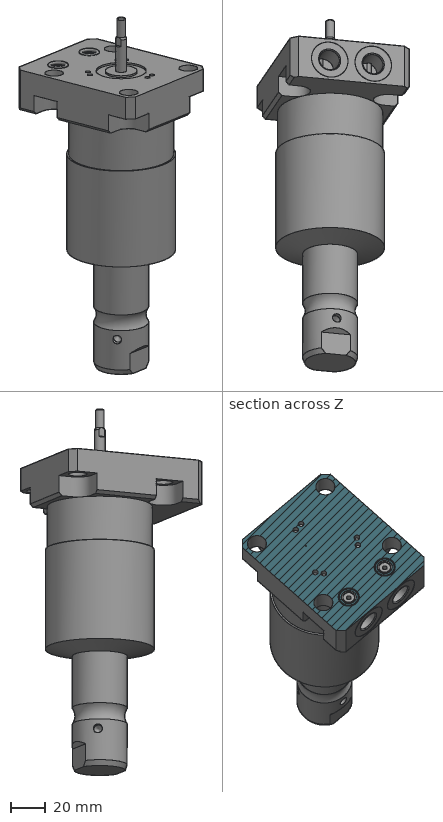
import cadquery as cq
import math

TOTAL_HEIGHT = 212.0
STEM_RADIUS = 16.0
BARREL_RADIUS = 31.4
NECK_RADIUS = 30.3
BARREL_BOTTOM = 71.3
BARREL_TOP = 129.5
BARREL_CONE_ANGLE = 15.0
BARREL_CONE_HEIGHT = (BARREL_RADIUS - STEM_RADIUS) * math.tan(math.radians(BARREL_CONE_ANGLE))
STEM_TOP = BARREL_BOTTOM - BARREL_CONE_HEIGHT
STEM_FOOT_HEIGHT = 3.2
STEM_FOOT_INSET = 1.3

GROOVE_BOTTOM = 27.1
GROOVE_TOP = 36.7
GROOVE_DEPTH = 1.5

FLAT_OFFSET = 13.4
FLAT_TOP = 13.0

PIN_HOLE_HEIGHT = 21.6
PIN_HOLE_RADIUS = 2.5
PIN_HOLE_DEPTH = 3.2
PIN_HOLE_COUNT = 3
PIN_HOLE_START_ANGLE = 180

PLATE_THICKNESS = 25.0
PLATE_TOP = 180.0
PLATE_BOTTOM = PLATE_TOP - PLATE_THICKNESS
PLATE_LEFT = -50.0
PLATE_RIGHT = 35.5
PLATE_HALF_WIDTH = 35.5
PLATE_CORNER = 4.0
PLATE_BOTTOM_CHAMFER = 2.0

MOUNT_SPACING = 55.0
MOUNT_RADIUS = 5.3
CLEARANCE_RADIUS = 8.5
CLEARANCE_HEIGHT = 11.7

RING_OUTER_RADIUS = 14.5
RING_INNER_RADIUS = 9.1
RING_DEPTH = 1.0
SMALL_HOLE_CIRCLE = 19.3
SMALL_HOLE_RADIUS = 1.5
SMALL_HOLE_DEPTH = 4.2
SMALL_HOLE_ANGLES = (0, 15, 120, 135, 225, 240)

PORT_OFFSET = 13.0
PORT_DROP = 12.7
PORT_HEIGHT = PLATE_TOP - PORT_DROP
PORT_RADIUS = 6.0
PORT_CHAMFER = 0.6
PORT_DEPTH = 15.0
SPOTFACE_RADIUS = 10.8
SPOTFACE_DEPTH = 0.2

TOP_PORT_X = PLATE_LEFT + PORT_DEPTH
TOP_PORT_OFFSET = 14.5
TOP_PORT_RADIUS = 1.3
TOP_PORT_DEPTH = 15.0
SEAT_RADIUS = 6.0
SEAT_DEPTH = 1.3
SEAT_RECESS_RADIUS = 3.4
SEAT_RECESS_DEPTH = 2.0
ORING_SECTION = 1.0
ORING_RADIUS = SEAT_RADIUS - ORING_SECTION
ORING_SQUASH = 0.2

SHAFT_RADIUS = 3.2
TIP_RADIUS = 2.5
SHAFT_SHOULDER = 199.8
TIP_BOTTOM = 201.0
TIP_CHAMFER = 0.6
SHAFT_FLAT_BOTTOM = 196.0


def cylinder(radius, bottom, top, x=0.0, y=0.0):
    return cq.Workplane("XY", origin=(x, y, bottom)).circle(radius).extrude(top - bottom)


def make_body():
    groove_middle = (GROOVE_BOTTOM + GROOVE_TOP) / 2
    foot_radius = STEM_RADIUS - STEM_FOOT_INSET
    return (
        cq.Workplane("XZ")
        .lineTo(foot_radius, 0)
        .lineTo(STEM_RADIUS, STEM_FOOT_HEIGHT)
        .lineTo(STEM_RADIUS, GROOVE_BOTTOM)
        .threePointArc((STEM_RADIUS - GROOVE_DEPTH, groove_middle), (STEM_RADIUS, GROOVE_TOP))
        .lineTo(STEM_RADIUS, STEM_TOP)
        .lineTo(BARREL_RADIUS, BARREL_BOTTOM)
        .lineTo(BARREL_RADIUS, BARREL_TOP)
        .lineTo(NECK_RADIUS, BARREL_TOP)
        .lineTo(NECK_RADIUS, PLATE_BOTTOM)
        .lineTo(0, PLATE_BOTTOM)
        .close()
        .revolve(360, (0, 0), (0, 1))
    )


def wrench_flat(side):
    """Flat with a 45 degree run-out at its upper end."""
    run_out = 2 * (STEM_RADIUS - FLAT_OFFSET)
    return (
        cq.Workplane("XZ")
        .moveTo(side * FLAT_OFFSET, 0)
        .lineTo(side * FLAT_OFFSET, FLAT_TOP)
        .lineTo(side * (FLAT_OFFSET + run_out), FLAT_TOP + run_out)
        .lineTo(side * (FLAT_OFFSET + run_out), 0)
        .close()
        .extrude(STEM_RADIUS, both=True)
    )


def pin_hole(angle):
    """Radial blind hole with a 90 degree drill point."""
    floor = STEM_RADIUS - PIN_HOLE_DEPTH
    return (
        cq.Workplane("XY")
        .moveTo(floor - PIN_HOLE_RADIUS, 0)
        .lineTo(floor, PIN_HOLE_RADIUS)
        .lineTo(STEM_RADIUS + PIN_HOLE_RADIUS, PIN_HOLE_RADIUS)
        .lineTo(STEM_RADIUS + PIN_HOLE_RADIUS, 0)
        .close()
        .revolve(360, (0, 0), (1, 0))
        .rotate((0, 0, 0), (0, 0, 1), angle)
        .translate((0, 0, PIN_HOLE_HEIGHT))
    )


def plate_block():
    center_x = (PLATE_LEFT + PLATE_RIGHT) / 2
    return (
        cq.Workplane("XY", origin=(center_x, 0, PLATE_BOTTOM))
        .rect(PLATE_RIGHT - PLATE_LEFT, 2 * PLATE_HALF_WIDTH)
        .extrude(PLATE_THICKNESS)
    )


def make_plate():
    """Block with cut corners; every bottom edge but the one at -X is chamfered."""
    cut_corners = plate_block().edges("|Z").chamfer(PLATE_CORNER)
    cut_bottom = plate_block().faces("<Z").edges("|X or >X").chamfer(PLATE_BOTTOM_CHAMFER)
    return cut_corners.intersect(cut_bottom)


def clearance_channel(x, y, direction_x, direction_y):
    """Straight channel from a mounting hole out through one side of the plate."""
    width = 2 * CLEARANCE_RADIUS
    return (
        cq.Workplane("XY", origin=(x, y, PLATE_BOTTOM))
        .center(direction_x * width / 2, direction_y * width / 2)
        .rect(width, width)
        .extrude(CLEARANCE_HEIGHT)
    )


def side_port(y):
    face = cq.Workplane("YZ", origin=(PLATE_LEFT, y, PORT_HEIGHT))
    bore = face.circle(PORT_RADIUS).extrude(PORT_DEPTH)
    spotface = face.circle(SPOTFACE_RADIUS).extrude(SPOTFACE_DEPTH)
    mouth = (
        cq.Workplane("YZ", origin=(PLATE_LEFT + SPOTFACE_DEPTH, y, PORT_HEIGHT))
        .circle(PORT_RADIUS + PORT_CHAMFER)
        .extrude(PORT_CHAMFER, taper=45)
    )
    return bore.union(spotface).union(mouth)


def top_port(y):
    bore = cylinder(TOP_PORT_RADIUS, PLATE_TOP - TOP_PORT_DEPTH, PLATE_TOP, TOP_PORT_X, y)
    seat = cylinder(SEAT_RADIUS, PLATE_TOP - SEAT_DEPTH, PLATE_TOP, TOP_PORT_X, y)
    recess = cylinder(SEAT_RECESS_RADIUS, PLATE_TOP - SEAT_RECESS_DEPTH, PLATE_TOP, TOP_PORT_X, y)
    return bore.union(seat).union(recess)


def oring(y):
    center_z = PLATE_TOP - SEAT_DEPTH + ORING_SECTION - ORING_SQUASH
    ring = cq.Solid.makeTorus(ORING_RADIUS, ORING_SECTION, cq.Vector(TOP_PORT_X, y, center_z))
    return cq.Workplane(obj=ring)


def shaft_flat(side):
    """Flat level with the tip, with a 45 degree run-out at its lower end."""
    run_out = SHAFT_RADIUS - TIP_RADIUS
    return (
        cq.Workplane("YZ")
        .moveTo(side * TIP_RADIUS, TIP_BOTTOM)
        .lineTo(side * TIP_RADIUS, SHAFT_FLAT_BOTTOM)
        .lineTo(side * SHAFT_RADIUS, SHAFT_FLAT_BOTTOM - run_out)
        .lineTo(side * SHAFT_RADIUS, TIP_BOTTOM)
        .close()
        .extrude(SHAFT_RADIUS, both=True)
    )


def make_shaft():
    shaft = (
        cq.Workplane("XZ")
        .moveTo(0, PLATE_BOTTOM)
        .lineTo(SHAFT_RADIUS, PLATE_BOTTOM)
        .lineTo(SHAFT_RADIUS, SHAFT_SHOULDER)
        .lineTo(TIP_RADIUS, TIP_BOTTOM)
        .lineTo(TIP_RADIUS, TOTAL_HEIGHT - TIP_CHAMFER)
        .lineTo(TIP_RADIUS - TIP_CHAMFER, TOTAL_HEIGHT)
        .lineTo(0, TOTAL_HEIGHT)
        .close()
        .revolve(360, (0, 0), (0, 1))
    )
    for side in (-1, 1):
        shaft = shaft.cut(shaft_flat(side))
    return shaft


body = make_body()
for side in (-1, 1):
    body = body.cut(wrench_flat(side))
for index in range(PIN_HOLE_COUNT):
    body = body.cut(pin_hole(PIN_HOLE_START_ANGLE + index * 360 / PIN_HOLE_COUNT))

plate = make_plate()
for side in (-1, 1):
    y = side * MOUNT_SPACING / 2
    for x in (-MOUNT_SPACING / 2, MOUNT_SPACING / 2):
        plate = plate.cut(cylinder(MOUNT_RADIUS, PLATE_BOTTOM, PLATE_TOP, x, y))
        plate = plate.cut(cylinder(CLEARANCE_RADIUS, PLATE_BOTTOM, PLATE_BOTTOM + CLEARANCE_HEIGHT, x, y))
        plate = plate.cut(clearance_channel(x, y, 0, side))
    plate = plate.cut(clearance_channel(MOUNT_SPACING / 2, y, 1, 0))
    plate = plate.cut(side_port(side * PORT_OFFSET))
    plate = plate.cut(top_port(side * TOP_PORT_OFFSET))
    plate = plate.union(oring(side * TOP_PORT_OFFSET))

ring_groove = cylinder(RING_OUTER_RADIUS, PLATE_TOP - RING_DEPTH, PLATE_TOP).cut(
    cylinder(RING_INNER_RADIUS, PLATE_TOP - RING_DEPTH, PLATE_TOP)
)
plate = plate.cut(ring_groove)
for angle in SMALL_HOLE_ANGLES:
    x = SMALL_HOLE_CIRCLE * math.cos(math.radians(angle))
    y = SMALL_HOLE_CIRCLE * math.sin(math.radians(angle))
    plate = plate.cut(cylinder(SMALL_HOLE_RADIUS, PLATE_TOP - SMALL_HOLE_DEPTH, PLATE_TOP, x, y))

result = body.union(plate).union(make_shaft())